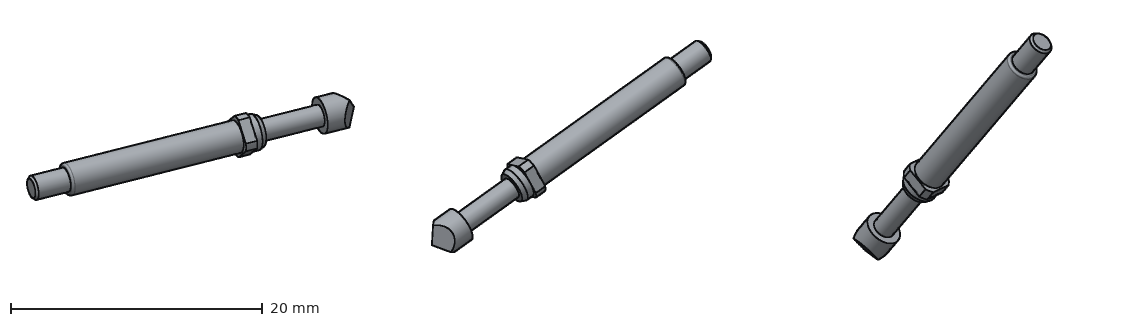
import cadquery as cq

total_length = 28.3

head_diameter = 3.0
head_length = 3.0
facet_count = 3
facet_angle = 45.0
stem_diameter = 1.8
stem_length = 5.3

collar_diameter = 3.0
collar_length = 1.02
collar_taper_length = 0.42
collar_taper_depth = 0.2
flange_corner_diameter = 3.6
flange_thickness = 1.0
barrel_diameter = 2.7
barrel_length = 15.0
barrel_end_fillet = 0.2
pin_diameter = 2.0
pin_end_chamfer = 0.2

head_base_y = total_length - head_length
collar_top_y = head_base_y - stem_length
flange_top_y = collar_top_y - collar_length
flange_base_y = flange_top_y - flange_thickness
barrel_end_y = flange_base_y - barrel_length


def along_axis(y):
    """Workplane square to the axis at station y, extruding towards the tip."""
    return cq.Workplane("ZX", origin=(0, y, 0))


def rod(start_y, end_y, diameter):
    """Plain cylinder between two stations."""
    return along_axis(start_y).circle(diameter / 2).extrude(end_y - start_y)


def pointed_head():
    """Round head cut by equal sloping facets that meet at a point on the axis."""
    head = rod(head_base_y, total_length, head_diameter)
    cutter_size = 2 * head_diameter
    for index in range(facet_count):
        cutter = (
            cq.Workplane("XY")
            .box(2 * cutter_size, cutter_size, 2 * cutter_size, centered=(True, False, True))
            .rotate((0, 0, 0), (0, 0, 1), -facet_angle)
            .rotate((0, 0, 0), (0, 1, 0), index * 360 / facet_count)
            .translate((0, total_length, 0))
        )
        head = head.cut(cutter)
    return head


def collar():
    """Collar with a long, shallow taper at its upper edge."""
    blank = rod(flange_top_y, collar_top_y, collar_diameter)
    return blank.faces(">Y").chamfer(collar_taper_length, collar_taper_depth)


def flange():
    """Square as wide as the collar, set on its corner, with the corners turned round."""
    square = (
        along_axis(flange_base_y)
        .transformed(rotate=(0, 0, 45))
        .rect(collar_diameter, collar_diameter)
        .extrude(flange_thickness)
    )
    return square.intersect(rod(flange_base_y, flange_top_y, flange_corner_diameter))


def barrel():
    """Long tube with its lower edge rounded."""
    tube = rod(barrel_end_y, flange_base_y, barrel_diameter)
    return tube.faces("<Y").edges().fillet(barrel_end_fillet)


def pin():
    """Connection pin with its free end chamfered."""
    return rod(0, barrel_end_y, pin_diameter).faces("<Y").chamfer(pin_end_chamfer)


result = (
    pin()
    .union(barrel())
    .union(flange())
    .union(collar())
    .union(rod(collar_top_y, head_base_y, stem_diameter))
    .union(pointed_head())
)